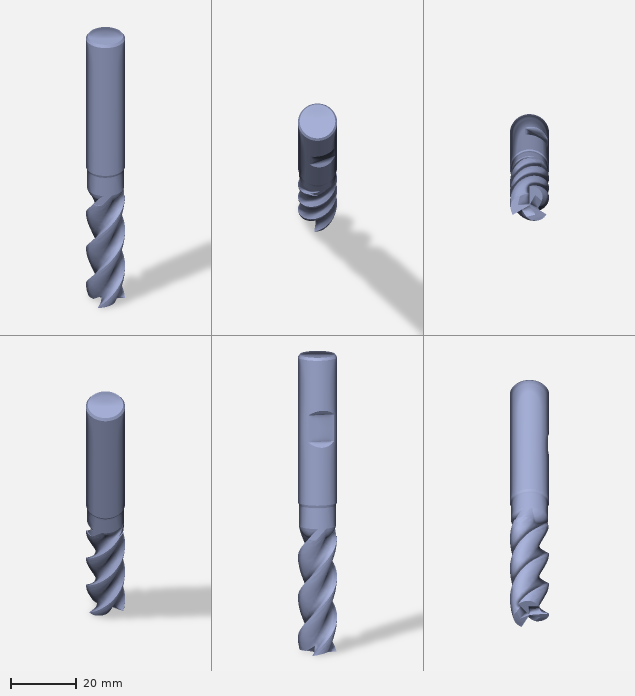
import cadquery as cq
import math

total_length = 93.0
tool_radius = 6.0

flute_count = 3
flute_step = 360.0 / flute_count
helix_angle = 45.0
helix_lead = 2 * math.pi * tool_radius / math.tan(math.radians(helix_angle))
first_edge_angle = 180.0
cutter_length = 36.1

margin_radius, margin_angle = 5.95, 9.0
flank_radius, flank_angle = 5.3, 37.0
heel_radius, heel_angle = 3.5, 73.0
core_radius, core_angle = 3.1, 94.0
rake_radius, rake_angle = 4.9, 116.0

end_relief_angle = 12.0
gash_width = 4.2
gash_height = 2.6

neck_radius = 5.7
runout_height = 3.5
runout_mid_radius, runout_mid_height = 4.7, 1.6
step_bottom = 46.1
step_top = 47.0
top_chamfer_height = 0.8
top_chamfer_width = 0.6
flat_depth = 1.6
flat_bottom, flat_top = 66.6, 75.0


def polar(radius, angle):
    return (
        radius * math.cos(math.radians(angle)),
        radius * math.sin(math.radians(angle)),
    )


def twist_at(height):
    return 360.0 * height / helix_lead


def fluted_bar(bottom, height):
    """Right-hand helical bar with the tooth section, starting at the given height."""
    start_angle = first_edge_angle + twist_at(bottom)
    section = cq.Workplane("XY", origin=(0, 0, bottom)).moveTo(*polar(tool_radius, start_angle))
    for tooth in range(flute_count):
        edge = start_angle + tooth * flute_step
        heel = polar(heel_radius, edge + heel_angle)
        core = polar(core_radius, edge + core_angle)
        rake = polar(rake_radius, edge + rake_angle)
        next_edge = polar(tool_radius, edge + flute_step)
        section = (
            section.lineTo(*polar(margin_radius, edge + margin_angle))
            .threePointArc(polar(flank_radius, edge + flank_angle), heel)
            .threePointArc(core, rake)
            .lineTo(*next_edge)
        )
    return section.close().twistExtrude(height, twist_at(height))


def end_cut(edge_angle):
    """Sloped relief behind one end edge and the gash in front of it."""
    reach = 2 * tool_radius
    relief_rise = reach * math.tan(math.radians(end_relief_angle))
    plane = cq.Plane(origin=(0, 0, 0), xDir=(0, 1, 0), normal=(1, 0, 0))
    relief = (
        cq.Workplane(plane)
        .polyline([(0, 0), (reach, 0), (reach, relief_rise)])
        .close()
        .extrude(reach)
    )
    gash = (
        cq.Workplane(plane)
        .polyline([(0, 0), (0, gash_height), (-gash_width, 0)])
        .close()
        .extrude(reach)
    )
    return relief.union(gash).rotate((0, 0, 0), (0, 0, 1), edge_angle)


def make_cutter():
    cutter = fluted_bar(0, cutter_length)
    for tooth in range(flute_count):
        cutter = cutter.cut(end_cut(first_edge_angle + tooth * flute_step))
    return cutter


def make_fluted_neck():
    """Lower neck where the flutes rise out to the full neck radius."""
    runout = (
        cq.Workplane("XZ")
        .moveTo(0, cutter_length)
        .lineTo(core_radius, cutter_length)
        .threePointArc(
            (runout_mid_radius, cutter_length + runout_mid_height),
            (neck_radius, cutter_length + runout_height),
        )
        .lineTo(0, cutter_length + runout_height)
        .close()
        .revolve(360, (0, 0), (0, 1))
    )
    neck = cq.Workplane("XY", origin=(0, 0, cutter_length)).circle(neck_radius).extrude(runout_height)
    return neck.intersect(fluted_bar(cutter_length, runout_height).union(runout))


def clamping_flat():
    """Notch on the +Y side with 45-degree ends."""
    floor = tool_radius - flat_depth
    return (
        cq.Workplane("YZ")
        .polyline([
            (floor, flat_bottom),
            (tool_radius, flat_bottom - flat_depth),
            (tool_radius, flat_top + flat_depth),
            (floor, flat_top),
        ])
        .close()
        .extrude(tool_radius, both=True)
    )


def make_shank():
    body = (
        cq.Workplane("XZ")
        .polyline([
            (0, cutter_length + runout_height),
            (neck_radius, cutter_length + runout_height),
            (neck_radius, step_bottom),
            (tool_radius, step_top),
            (tool_radius, total_length - top_chamfer_height),
            (tool_radius - top_chamfer_width, total_length),
            (0, total_length),
        ])
        .close()
        .revolve(360, (0, 0), (0, 1))
    )
    return body.union(make_fluted_neck()).cut(clamping_flat())


cutter = make_cutter()
shank = make_shank()

result = cq.Compound.makeCompound([cutter.solids().val(), shank.solids().val()])